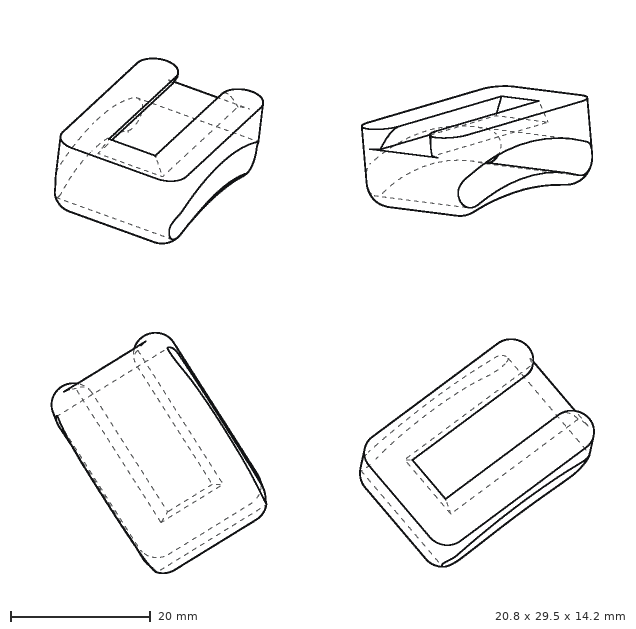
import cadquery as cq
import math

length = 29.53
width = 20.02
tilt = 6.7
edge_radius = 3.13

lower_corner_radius = 3.95
corner_depth = 8.3
bottom_depth = 11.0

passage_end_radius = 2.45
passage_end_offset = 11.22
roof_depth = 3.6
floor_depth = 8.53

slot_width = 7.5
slot_undercut = 1.48
slot_length = 24.07
slot_depth = 2.95


def arch(offset, end_radius, crown_depth, is_roof):
    """Return the crown and right-hand tangent point of an arch blending into two end arcs.

    The end arcs are centred at (+-offset, -corner_depth). A roof encloses
    the end arcs; a floor or underside touches them from below.
    """
    drop = corner_depth - crown_depth
    side = -1 if is_roof else 1
    radius = (offset**2 + drop**2 - end_radius**2) / (2 * (side * end_radius + drop))
    centre_z = -crown_depth - radius
    rise = -corner_depth - centre_z
    reach = radius / math.hypot(offset, rise)
    tangent = (offset * reach, centre_z + rise * reach)
    return (0, -crown_depth), tangent


def mirrored(point):
    return (-point[0], point[1])


def make_body():
    corner_y = length / 2 - lower_corner_radius
    crown, tangent = arch(corner_y, lower_corner_radius, bottom_depth, is_roof=False)
    end_angle = math.atan2(tangent[1] + corner_depth, tangent[0] - corner_y)
    middle = (
        corner_y + lower_corner_radius * math.cos(end_angle / 2),
        -corner_depth + lower_corner_radius * math.sin(end_angle / 2),
    )
    block = (
        cq.Workplane("YZ")
        .moveTo(-length / 2, 0)
        .lineTo(length / 2, 0)
        .lineTo(length / 2, -corner_depth)
        .threePointArc(middle, tangent)
        .threePointArc(crown, mirrored(tangent))
        .threePointArc(mirrored(middle), (-length / 2, -corner_depth))
        .close()
        .extrude(width / 2, both=True)
    )
    end_edges = block.faces("<X or >X").edges("not(>Z)")
    return end_edges.fillet(edge_radius)


def make_passage():
    roof_crown, roof_tangent = arch(passage_end_offset, passage_end_radius, roof_depth, is_roof=True)
    floor_crown, floor_tangent = arch(passage_end_offset, passage_end_radius, floor_depth, is_roof=False)
    tip = (passage_end_offset + passage_end_radius, -corner_depth)
    return (
        cq.Workplane("YZ")
        .moveTo(*mirrored(roof_tangent))
        .threePointArc(roof_crown, roof_tangent)
        .threePointArc(tip, floor_tangent)
        .threePointArc(floor_crown, mirrored(floor_tangent))
        .threePointArc(mirrored(tip), mirrored(roof_tangent))
        .close()
        .extrude(width / 2, both=True)
    )


def make_slot():
    """Dovetail slot open at the +Y end, where its mouth flares to leave rounded prongs."""
    mouth_y = length / 2
    half_width = slot_width / 2
    half_floor = half_width + slot_undercut
    dovetail = (
        cq.Workplane("XZ", origin=(0, mouth_y, 0))
        .polyline([
            (-half_width, 0),
            (half_width, 0),
            (half_floor, -slot_depth),
            (-half_floor, -slot_depth),
        ])
        .close()
        .extrude(slot_length)
    )

    mouth_radius = (width - slot_width) / 4
    flare_start_y = mouth_y - mouth_radius
    flare_x = half_width + mouth_radius
    diagonal = mouth_radius * math.sqrt(0.5)
    flare_middle = (flare_x - diagonal, flare_start_y + diagonal)
    flare = (
        cq.Workplane("XY")
        .moveTo(-half_width, flare_start_y)
        .lineTo(half_width, flare_start_y)
        .threePointArc(flare_middle, (flare_x, mouth_y))
        .lineTo(-flare_x, mouth_y)
        .threePointArc(mirrored(flare_middle), (-half_width, flare_start_y))
        .close()
        .extrude(-slot_depth)
    )
    return dovetail.union(flare)


level_part = make_body().cut(make_passage()).cut(make_slot())
result = level_part.rotate((0, 0, 0), (0, 1, 0), tilt)